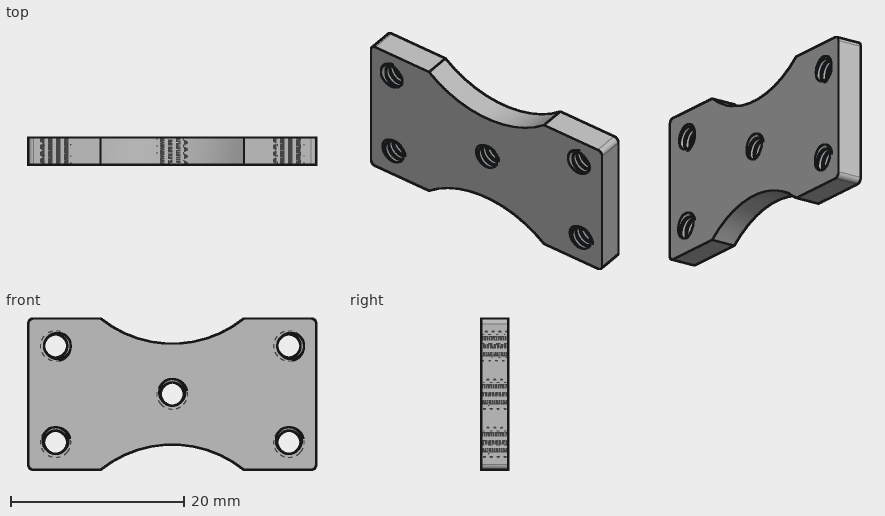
import cadquery as cq
import math

LENGTH = 33.29
HEIGHT = 17.51
THICKNESS = 3.175
CORNER_RADIUS = 0.635

WAIST_CHORD = 16.55
WAIST_DEPTH = 2.92

HOLE_SPACING_X = 26.94
HOLE_SPACING_Z = 11.13

THREAD_MAJOR_DIAMETER = 3.505
INCH = 25.4
THREADS_PER_INCH = 32
FLANK_ANGLE = math.radians(30)
PITCH = INCH / THREADS_PER_INCH
SHARP_V_HEIGHT = PITCH / (2 * math.tan(FLANK_ANGLE))
THREAD_DEPTH = SHARP_V_HEIGHT * 5 / 8
MAJOR_RADIUS = THREAD_MAJOR_DIAMETER / 2
MINOR_RADIUS = MAJOR_RADIUS - THREAD_DEPTH
ROOT_HALF_WIDTH = PITCH / 8 / 2
CORE_OVERLAP = 0.05
RUN_OUT = 2 * PITCH

SIDE_START = 0
UP_START = 90


def make_plate():
    """Rounded rectangle with a circular-arc waist on the top and bottom edges."""
    plate = cq.Workplane("XY").box(LENGTH, THICKNESS, HEIGHT)
    plate = plate.edges("|Y").fillet(CORNER_RADIUS)
    waist_radius = ((WAIST_CHORD / 2) ** 2 + WAIST_DEPTH**2) / (2 * WAIST_DEPTH)
    waist_center = HEIGHT / 2 - WAIST_DEPTH + waist_radius
    cutters = (
        cq.Workplane("XZ")
        .pushPoints([(0, waist_center), (0, -waist_center)])
        .circle(waist_radius)
        .extrude(THICKNESS, both=True)
    )
    return plate.cut(cutters)


def make_tap():
    """Threaded rod about Z, running past both plate faces.

    The front face of the plate falls at Z = 0, where the ridge stands highest toward +X.
    """
    tap_length = THICKNESS + 2 * RUN_OUT
    core = cq.Workplane("XY").circle(MINOR_RADIUS).extrude(tap_length)
    inner_radius = MINOR_RADIUS - CORE_OVERLAP
    inner_half_width = ROOT_HALF_WIDTH + (MAJOR_RADIUS - inner_radius) * math.tan(FLANK_ANGLE)
    helix = cq.Wire.makeHelix(PITCH, tap_length, MINOR_RADIUS)
    ridge = (
        cq.Workplane("XZ")
        .polyline(
            [
                (inner_radius, -inner_half_width),
                (MAJOR_RADIUS, -ROOT_HALF_WIDTH),
                (MAJOR_RADIUS, ROOT_HALF_WIDTH),
                (inner_radius, inner_half_width),
            ]
        )
        .close()
        .sweep(cq.Workplane(obj=helix), isFrenet=True)
    )
    return core.union(ridge).translate((0, 0, -RUN_OUT))


def cut_threaded_hole(body, tap, x, z, start_angle):
    """Cut the tap through the plate along Y, turned so its groove starts at start_angle."""
    placed_tap = (
        tap.rotate((0, 0, 0), (0, 0, 1), -start_angle)
        .rotate((0, 0, 0), (1, 0, 0), -90)
        .translate((x, -THICKNESS / 2, z))
    )
    return body.cut(placed_tap)


hole_x = HOLE_SPACING_X / 2
hole_z = HOLE_SPACING_Z / 2
threaded_holes = [
    (-hole_x, hole_z, SIDE_START),
    (hole_x, hole_z, SIDE_START),
    (-hole_x, -hole_z, UP_START),
    (hole_x, -hole_z, UP_START),
    (0, 0, UP_START),
]

result = make_plate()
tap = make_tap()
for x, z, start_angle in threaded_holes:
    result = cut_threaded_hole(result, tap, x, z, start_angle)